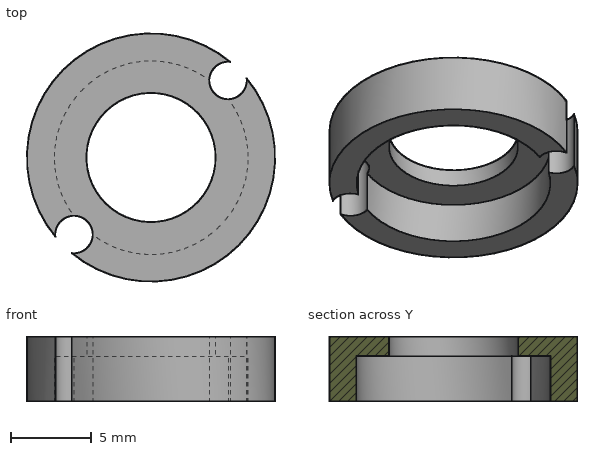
import cadquery as cq

outer_diameter = 15.4
height = 4.0
bore_diameter = 8.0
top_thickness = 1.2
cavity_diameter = 12.01

notch_diameter = 2.31
notch_offset = 4.77

body = cq.Workplane("XY").circle(outer_diameter / 2).extrude(height)

cavity = cq.Workplane("XY").circle(cavity_diameter / 2).extrude(height - top_thickness)

bore = cq.Workplane("XY").circle(bore_diameter / 2).extrude(height)

notches = (
    cq.Workplane("XY")
    .pushPoints([(side * notch_offset, side * notch_offset) for side in (-1, 1)])
    .circle(notch_diameter / 2)
    .extrude(height)
)

result = body.cut(cavity).cut(bore).cut(notches)